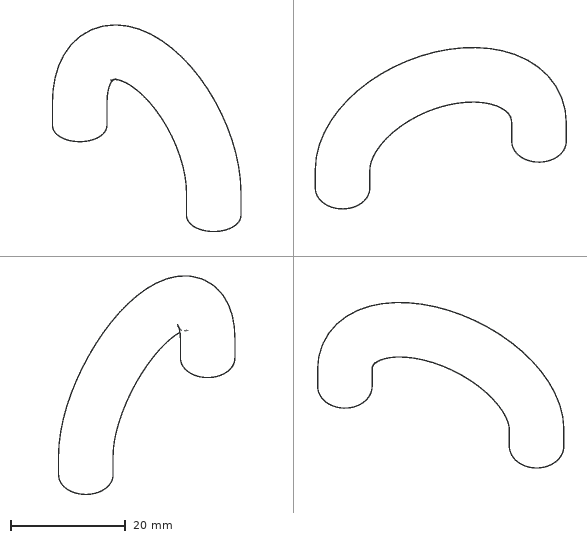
import cadquery as cq

span = 45.45
height = 27.8
bar_diameter = 9.55
end_fillet = 0.3

bar_radius = bar_diameter / 2
bend_radius = (span - bar_diameter) / 2
leg_length = height - span / 2


def make_bend():
    """Half torus rising from the XY plane, centred on the origin."""
    return (
        cq.Workplane("XY")
        .center(-bend_radius, 0)
        .circle(bar_radius)
        .revolve(180, (bend_radius, 0), (bend_radius, 1))
    )


def make_leg(x):
    """Straight leg below the bend, with its free end rounded."""
    return (
        cq.Workplane("XY", origin=(x, 0, -leg_length))
        .circle(bar_radius)
        .extrude(leg_length)
        .faces("<Z")
        .edges()
        .fillet(end_fillet)
    )


result = make_bend()
for leg_x in (-bend_radius, bend_radius):
    result = result.union(make_leg(leg_x))